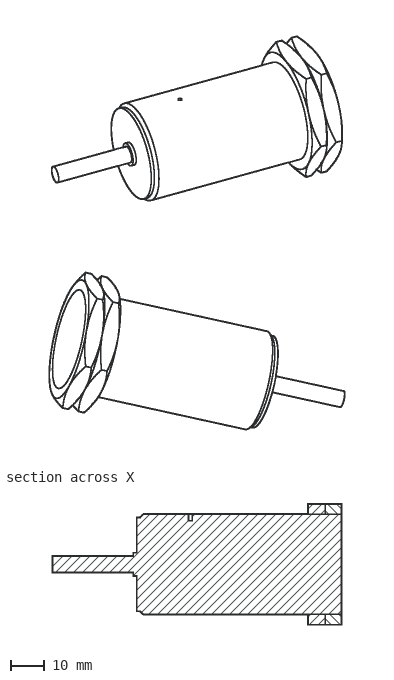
import cadquery as cq
import math

total_length = 86.0
body_diameter = 30.0
lip_diameter = 28.0
collar_diameter = 7.0
cable_diameter = 5.0
step_length = 1.0
lip_end = 61.0
nut_across_flats = 36.0
nut_thickness = 5.0
nut_count = 2
nut_chamfer_angle = 30.0
hole_diameter = 1.0
hole_depth = 2.0
hole_distance = 45.0

nut_across_corners = nut_across_flats / math.cos(math.pi / 6)
corner_overhang = (nut_across_corners - nut_across_flats) / 2
nut_chamfer_drop = corner_overhang * math.tan(math.radians(nut_chamfer_angle))
body_radius = body_diameter / 2


def revolve_about_y(profile):
    """Revolve (radius, distance from the rear face) points around the Y axis."""
    points = [(radius, -distance) for radius, distance in profile]
    return cq.Workplane("XY").polyline(points).close().revolve(360, (0, 0, 0), (0, 1, 0))


def make_indicator_hole():
    """Build the upright plug that cuts the narrow blind indicator hole in the top of the body."""
    return (
        cq.Workplane("XY", origin=(0, -hole_distance, body_radius))
        .circle(hole_diameter / 2)
        .extrude(-hole_depth)
    )


def make_sensor():
    """Build the cylindrical sensor with its stepped front end, cable and indicator hole."""
    lip_start = lip_end - step_length
    cone_start = lip_start - step_length
    collar_end = lip_end + step_length
    turned = revolve_about_y([
        (0, 0),
        (body_radius, 0),
        (body_radius, cone_start),
        (lip_diameter / 2, lip_start),
        (lip_diameter / 2, lip_end),
        (collar_diameter / 2, lip_end),
        (collar_diameter / 2, collar_end),
        (cable_diameter / 2, collar_end),
        (cable_diameter / 2, total_length),
        (0, total_length),
    ])
    return turned.cut(make_indicator_hole())


def make_nut(rear_distance):
    """Build a hexagon nut with both faces chamfered, bored to fit the body."""
    front_distance = rear_distance + nut_thickness
    hexagon = (
        cq.Workplane("XZ", origin=(0, -rear_distance, 0))
        .polygon(6, nut_across_corners)
        .extrude(nut_thickness)
    )
    chamfer_envelope = revolve_about_y([
        (body_radius, rear_distance),
        (nut_across_flats / 2, rear_distance),
        (nut_across_corners / 2, rear_distance + nut_chamfer_drop),
        (nut_across_corners / 2, front_distance - nut_chamfer_drop),
        (nut_across_flats / 2, front_distance),
        (body_radius, front_distance),
    ])
    return hexagon.intersect(chamfer_envelope)


sensor = make_sensor()
nuts = [make_nut(index * nut_thickness) for index in range(nut_count)]

result = cq.Compound.makeCompound([sensor.val(), *[nut.val() for nut in nuts]])